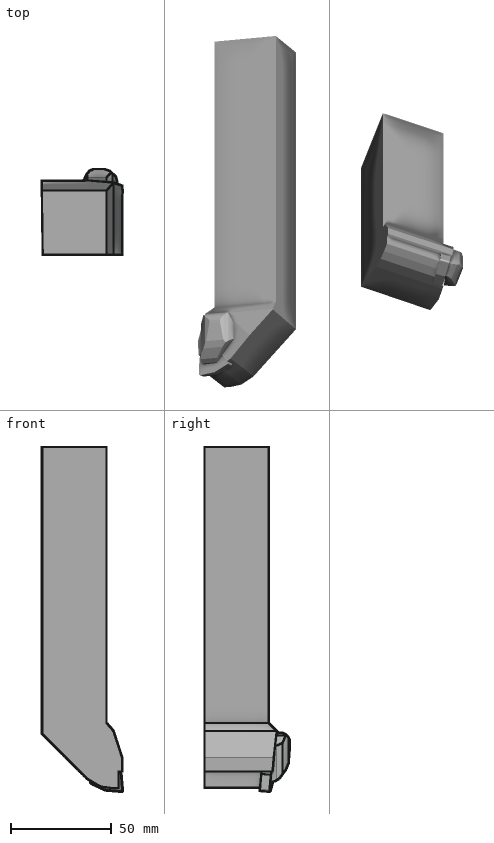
import cadquery as cq
import math


tool_height = 171.4
shank_width = 32.4
shank_depth = 32.0
left_lean = 0.5
neck_z = 34.3
head_depth = 36.8
heel_z = 29.1
shoulder = (35.8, 30.3)
flank_x = 40.1
flank_top_z = 17.1
relief_top_z = 10.1
relief_x = 38.2
toe_z = 2.0
toe_x = 34.0
toe_bend = (29.1, 2.7)
slope_end_x = 22.8

tilt = math.radians(7)
incircle = 12.7
insert_thickness = 4.8
nose_radius = 0.9
nose_angle = math.radians(80)
tool_width = 40.5
sharp_overhang = 0.09
tip = (tool_width + sharp_overhang, 32.2, -sharp_overhang)
head_above_rake = 0.7
clearance = 68.5

side = math.sqrt(0.5)
rake_plane = cq.Plane(
    origin=tip,
    xDir=(-side * math.cos(tilt), math.sin(tilt), side * math.cos(tilt)),
    normal=(side * math.sin(tilt), math.cos(tilt), -side * math.sin(tilt)),
)


def extrude_along_y(points, depth):
    """Extrude an X-Z outline from the front face toward +Y."""
    return cq.Workplane("XZ").polyline(points).close().extrude(-depth)


def insert_prism(bottom, top):
    """Trigon prism between two heights above the rake face."""
    radius = incircle / 2
    nose_reach = radius / math.sin(nose_angle / 2)
    bend_reach = radius / math.sin(nose_angle)
    corner_count = 6
    corners = []
    for i in range(corner_count):
        reach = nose_reach if i % 2 == 0 else bend_reach
        angle = math.pi + i * 2 * math.pi / corner_count
        corners.append((nose_reach + reach * math.cos(angle), reach * math.sin(angle)))
    prism = cq.Workplane("XY").workplane(offset=bottom).polyline(corners).close().extrude(top - bottom)
    for corner in corners[::2]:
        nose = cq.selectors.NearestToPointSelector((*corner, (bottom + top) / 2))
        prism = prism.edges(nose).fillet(nose_radius)
    return cq.Workplane(prism.val().moved(cq.Location(rake_plane)))


def make_shank_and_head():
    outline = [
        (0, tool_height),
        (shank_width, tool_height),
        (shank_width, neck_z),
        shoulder,
        (flank_x, flank_top_z),
        (flank_x, relief_top_z),
        (relief_x, relief_top_z),
        (relief_x, toe_z),
        (toe_x, toe_z),
        toe_bend,
        (slope_end_x, heel_z - slope_end_x),
        (0, heel_z),
    ]
    body = extrude_along_y(outline, head_depth)

    step = head_depth - shank_depth
    back_space = (
        cq.Workplane("YZ")
        .polyline([
            (shank_depth, tool_height),
            (shank_depth, neck_z),
            (head_depth, neck_z - step),
            (head_depth, tool_height),
        ])
        .close()
        .extrude(clearance)
    )

    lean_wedge = (
        cq.Workplane("XY")
        .polyline([(0, 0), (left_lean, 0), (0, head_depth)])
        .close()
        .extrude(tool_height)
    )

    tilted_cut = (
        cq.Workplane(rake_plane)
        .workplane(offset=head_above_rake)
        .rect(2 * clearance, 2 * clearance)
        .extrude(clearance)
    )
    return body.cut(back_space).cut(lean_wedge).cut(tilted_cut)


def make_clamp_hump():
    """Faceted hump on the back of the head, as the common part of three outlines."""
    hump_top_y = 42.7
    hump_left_x = 20.7
    hump_right_x = 37.7
    hump_top_z = 29.5
    hump_root_y = 30.8
    hump_bottom_z = 4.8
    foot_z = 5.1
    foot_x = 30.5
    side_top_z = 24.3
    side_bottom_z = 16.0
    front_outline = extrude_along_y([
        (hump_left_x, side_top_z),
        (22.8, hump_top_z),
        (32.4, hump_top_z),
        (35.3, 28.1),
        (hump_right_x, 23.0),
        (hump_right_x, foot_z),
        (foot_x, foot_z),
        (hump_left_x, side_bottom_z),
    ], clearance)
    side_outline = (
        cq.Workplane("YZ")
        .moveTo(hump_root_y, hump_top_z)
        .lineTo(38.5, hump_top_z)
        .threePointArc((41.8, 27.0), (hump_top_y, 23.3))
        .lineTo(42.0, 14.4)
        .lineTo(40.6, 11.1)
        .lineTo(37.4, 6.7)
        .lineTo(34.5, hump_bottom_z)
        .lineTo(hump_root_y, hump_bottom_z)
        .close()
        .extrude(clearance)
    )
    top_outline = (
        cq.Workplane("XY")
        .polyline([
            (hump_left_x, hump_root_y),
            (hump_left_x, 36.7),
            (22.3, 40.0),
            (23.8, 41.8),
            (25.7, hump_top_y),
            (31.4, hump_top_y),
            (33.8, 41.8),
            (37.0, 38.9),
            (hump_right_x, 36.0),
            (hump_right_x, hump_root_y),
        ])
        .close()
        .extrude(clearance)
    )
    return front_outline.intersect(side_outline).intersect(top_outline)


insert = insert_prism(-insert_thickness, 0)

pocket = insert_prism(-insert_thickness, clearance)
holder = make_shank_and_head().cut(pocket).union(make_clamp_hump()).cut(insert)

result = cq.Compound.makeCompound([holder.val(), insert.val()])